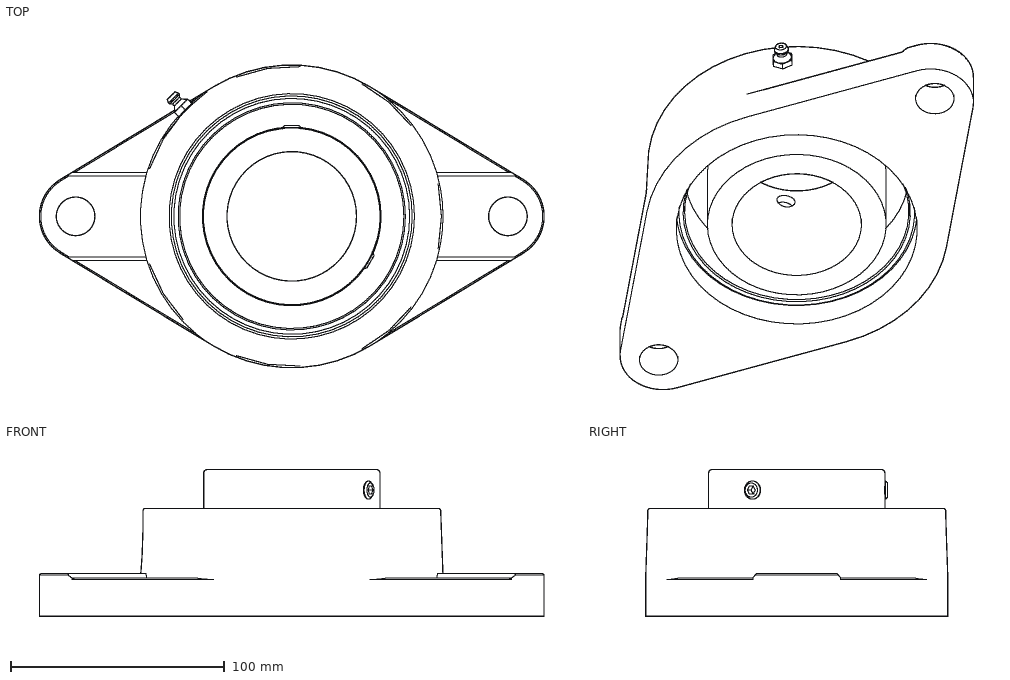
import cadquery as cq
import math

ear_reach = 118.0
ear_radius = 20.0
ear_x = ear_reach - ear_radius
boss_radius = 70.8
plate_height = 18.0
plate_chamfer = 0.7
bolt_x = 101.0
bolt_diameter = 18.0
pad_height = 20.0
pad_base_half_width = 20.5
pad_top_half_width = 18.9
rim_chamfer = 0.7

boss_base = plate_height - plate_chamfer
boss_top = 50.5
boss_top_radius = 69.6
boss_fillet = 1.2
bore_radius = 112.5 / 2
bore_mouth_radius = 114.7 / 2

bearing_mid = 29.0
race_top = 45.3
race_bottom = 2 * bearing_mid - race_top
inner_land_top = 46.0
race_outer_chamfer = 1.2
race_inner_radius = 52.5
race_inner_chamfer = 0.7

inner_top = 68.7
inner_bottom = 3.5
inner_bore_radius = 60.5 / 2
inner_bore_fillet = 2.0
inner_land_radius = 83.5 / 2
collar_radius = 82.5 / 2
collar_fillet = 2.0

seal_rim_radius = 98.5 / 2
seal_top = 43.5
seal_lip_top = 43.7
seal_thickness = 2.4

screw_diameter = 8.5
screw_z = 59.0
screw_angles = (90, -30)
screw_outer_end = 42.5
screw_inner_end = 34.2
screw_chamfer = 1.0
socket_across_corners = 4.2
socket_depth = 3.5

nipple_angle = 135
nipple_z = 37.3
nipple_seat = 70.3
nipple_hex_corners = 10.1
nipple_hex_thickness = 2.8
nipple_shank_diameter = 6.0
nipple_shank_length = 7.0
nipple_cone_radius = 4.2
nipple_neck_radius = 2.4
nipple_ridge_radius = 3.3
nipple_tip_radius = 2.5
nipple_neck_start = 75.3
nipple_neck_end = 76.5
nipple_ridge_start = 77.5
nipple_ridge_end = 78.0
nipple_tip = 79.8
nipple_hole_diameter = 1.77
nipple_hole_depth = 2.4


def revolve_section(points):
    """Turn a closed (radius, z) outline about the Z axis."""
    return cq.Workplane("XZ").polyline(points).close().revolve(360, (0, 0, 0), (0, 1, 0))


def radial_plane(angle, z):
    """Plane on the Z axis whose normal points outwards at the given angle, with local Y up."""
    turn = math.radians(angle)
    return cq.Plane(
        origin=(0, 0, z),
        xDir=(-math.sin(turn), math.cos(turn), 0),
        normal=(math.cos(turn), math.sin(turn), 0),
    )


def radial_cylinder(angle, z, diameter, start, end):
    plane = radial_plane(angle, z)
    return cq.Workplane(plane).workplane(offset=start).circle(diameter / 2).extrude(end - start)


def flange_blank(height):
    """Oval plate: boss arcs and ear arcs joined by tangent lines."""
    normal_x = (boss_radius - ear_radius) / ear_x
    normal_y = math.sqrt(1 - normal_x**2)
    boss_x = boss_radius * normal_x
    boss_y = boss_radius * normal_y
    tip_x = ear_x + ear_radius * normal_x
    tip_y = ear_radius * normal_y
    return (
        cq.Workplane("XY")
        .moveTo(-boss_x, boss_y)
        .threePointArc((0, boss_radius), (boss_x, boss_y))
        .lineTo(tip_x, tip_y)
        .threePointArc((ear_reach, 0), (tip_x, -tip_y))
        .lineTo(boss_x, -boss_y)
        .threePointArc((0, -boss_radius), (-boss_x, -boss_y))
        .lineTo(-tip_x, -tip_y)
        .threePointArc((-ear_reach, 0), (-tip_x, tip_y))
        .close()
        .extrude(height)
    )


def make_housing():
    plate = flange_blank(plate_height).faces(">Z").edges().chamfer(plate_chamfer)
    pad_bar = (
        cq.Workplane("YZ", origin=(-ear_reach, 0, 0))
        .moveTo(-pad_base_half_width, 0)
        .lineTo(pad_base_half_width, 0)
        .lineTo(pad_base_half_width, plate_height)
        .lineTo(pad_top_half_width, pad_height)
        .lineTo(-pad_top_half_width, pad_height)
        .lineTo(-pad_base_half_width, plate_height)
        .close()
        .extrude(2 * ear_reach)
    )
    pads = flange_blank(pad_height).faces(">Z").edges().chamfer(rim_chamfer).intersect(pad_bar)
    boss = revolve_section(
        [
            (0, boss_base),
            (boss_radius, boss_base),
            (boss_top_radius, boss_top),
            (0, boss_top),
        ]
    )
    boss = boss.faces(">Z").edges().fillet(boss_fillet)
    body = plate.union(boss).union(pads)

    bore = cq.Workplane("XY").circle(bore_radius).extrude(boss_top)
    mouth_depth = bore_mouth_radius - bore_radius
    mouth = revolve_section(
        [
            (0, boss_top - mouth_depth),
            (bore_radius, boss_top - mouth_depth),
            (bore_mouth_radius, boss_top),
            (0, boss_top),
        ]
    )
    bolt_holes = (
        cq.Workplane("XY")
        .pushPoints([(-bolt_x, 0), (bolt_x, 0)])
        .circle(bolt_diameter / 2)
        .extrude(pad_height)
    )
    nipple_hole = radial_cylinder(
        nipple_angle,
        nipple_z,
        nipple_shank_diameter,
        nipple_seat - nipple_shank_length,
        nipple_seat,
    )
    return body.cut(bore).cut(mouth).cut(bolt_holes).cut(nipple_hole)


def make_outer_ring():
    ring = (
        cq.Workplane("XY", origin=(0, 0, race_bottom))
        .circle(bore_radius)
        .circle(race_inner_radius)
        .extrude(race_top - race_bottom)
    )
    ring = ring.edges("%CIRCLE").edges(cq.selectors.RadiusNthSelector(-1)).chamfer(race_outer_chamfer)
    return ring.edges("%CIRCLE").edges(cq.selectors.RadiusNthSelector(0)).chamfer(race_inner_chamfer)


def make_inner_ring():
    ring = revolve_section(
        [
            (inner_bore_radius, inner_bottom),
            (inner_land_radius, inner_bottom),
            (inner_land_radius, inner_land_top),
            (collar_radius, inner_land_top),
            (collar_radius, inner_top),
            (inner_bore_radius, inner_top),
        ]
    )
    ring = ring.faces(">Z").edges(cq.selectors.RadiusNthSelector(0)).fillet(inner_bore_fillet)
    ring = ring.faces(">Z").edges(cq.selectors.RadiusNthSelector(-1)).fillet(collar_fillet)
    for angle in screw_angles:
        ring = ring.cut(radial_cylinder(angle, screw_z, screw_diameter, 0, screw_outer_end))
    return ring


def make_seal():
    return revolve_section(
        [
            (inner_land_radius, seal_lip_top - seal_thickness),
            (seal_rim_radius, seal_top - seal_thickness),
            (race_inner_radius, seal_top - seal_thickness),
            (race_inner_radius, seal_top),
            (seal_rim_radius, seal_top),
            (inner_land_radius, seal_lip_top),
        ]
    )


def make_set_screw(angle):
    screw = radial_cylinder(angle, screw_z, screw_diameter, screw_inner_end, screw_outer_end)
    outer_rim = cq.selectors.DirectionMinMaxSelector(radial_plane(angle, screw_z).zDir, True)
    screw = screw.edges("%CIRCLE").edges(outer_rim).chamfer(screw_chamfer)
    socket = (
        cq.Workplane(radial_plane(angle, screw_z))
        .workplane(offset=screw_outer_end - socket_depth)
        .polygon(6, socket_across_corners)
        .extrude(socket_depth)
    )
    return screw.cut(socket)


def make_grease_nipple():
    plane = radial_plane(nipple_angle, nipple_z)
    hex_end = nipple_seat + nipple_hex_thickness
    hexagon = (
        cq.Workplane(plane)
        .workplane(offset=nipple_seat)
        .transformed(rotate=(0, 0, 90))
        .polygon(6, nipple_hex_corners)
        .extrude(nipple_hex_thickness)
    )
    turned = revolve_section(
        [
            (0, nipple_seat - nipple_shank_length),
            (nipple_shank_diameter / 2, nipple_seat - nipple_shank_length),
            (nipple_shank_diameter / 2, hex_end),
            (nipple_cone_radius, hex_end),
            (nipple_neck_radius, nipple_neck_start),
            (nipple_neck_radius, nipple_neck_end),
            (nipple_ridge_radius, nipple_ridge_start),
            (nipple_ridge_radius, nipple_ridge_end),
            (nipple_tip_radius, nipple_tip),
            (0, nipple_tip),
        ]
    )
    turned = cq.Workplane(turned.val().moved(plane.location))
    hole = radial_cylinder(
        nipple_angle, nipple_z, nipple_hole_diameter, nipple_tip - nipple_hole_depth, nipple_tip
    )
    return hexagon.union(turned).cut(hole)


housing = make_housing()
outer_ring = make_outer_ring()
inner_ring = make_inner_ring()
seal = make_seal()
set_screws = [make_set_screw(angle).val() for angle in screw_angles]
grease_nipple = make_grease_nipple()

result = cq.Compound.makeCompound(
    [
        housing.val(),
        outer_ring.val(),
        inner_ring.val(),
        seal.val(),
        *set_screws,
        grease_nipple.val(),
    ]
)